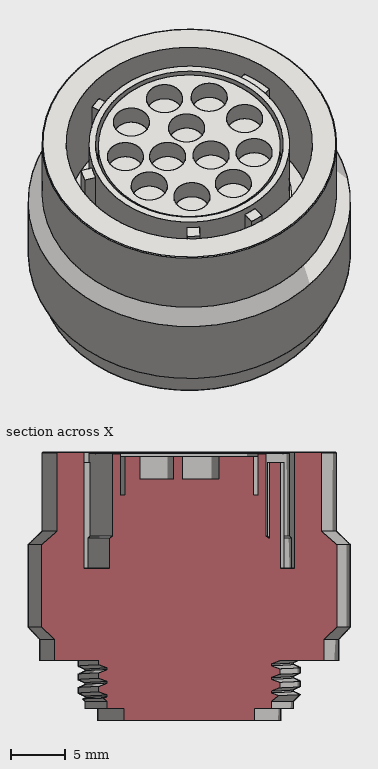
import cadquery as cq
import math

total_height = 24.4
tail_radius = 8.32
tail_top = 1.08
collar_radius = 9.5
collar_top = 1.75
flange_radius = 13.6
flange_bottom = 5.45
flange_top = 7.38
body_radius = 14.65
body_bottom = 8.5
body_top = 16.0
barrel_radius = 13.4
barrel_bottom = 17.23
rim_chamfer = 0.1

thread_radius = 10.1
thread_depth = thread_radius - collar_radius
thread_pitch = 1.23
groove_start = 1.82
groove_opening = 0.73
groove_root_width = 0.15
groove_overcut = 0.3

bore_radius = 11.2
bore_depth = 10.55
plug_radius = 9.1
plug_base_radius = 9.32
plug_base_height = 2.93
plug_top_recess = 0.15
plug_top = total_height - plug_top_recess
bore_floor = total_height - bore_depth
plug_base_top = bore_floor + plug_base_height
plug_base_chamfer = plug_base_radius - plug_radius

sleeve_inner_radius = 8.53
insert_radius = 8.25
insert_recess = 0.23
insert_top = plug_top - insert_recess
insert_gap_depth = 3.52

contact_radius = 1.65
contact_depth = 2.05
outer_contact_count = 9
outer_contact_circle = 5.95
inner_contacts = [(-1.46, 1.5), (2.23, 0.35), (-0.8, -2.2)]

key_outer_radius = 10.15
key_recess = 0.95
key_top = total_height - key_recess
key_trim = 0.3
main_key_width = 2.87
minor_key_width = 1.17
minor_key_angles = (105, 140, 215, 265)


def disc(radius, bottom, top):
    return cq.Workplane("XY").workplane(offset=bottom).circle(radius).extrude(top - bottom)


def make_shell():
    profile = [
        (0, flange_bottom),
        (flange_radius, flange_bottom),
        (flange_radius, flange_top),
        (body_radius, body_bottom),
        (body_radius, body_top),
        (barrel_radius, barrel_bottom),
        (barrel_radius, total_height - rim_chamfer),
        (barrel_radius - rim_chamfer, total_height),
        (0, total_height),
    ]
    return cq.Workplane("XZ").polyline(profile).close().revolve(360, (0, 0), (0, 1))


def make_groove_cutter():
    flank_slope = (groove_opening - groove_root_width) / 2 / thread_depth
    cutter_radius = thread_radius + groove_overcut
    half_root = groove_root_width / 2
    half_mouth = groove_opening / 2 + groove_overcut * flank_slope
    helix_height = flange_bottom + thread_pitch / 2 - groove_start
    helix = cq.Wire.makeHelix(thread_pitch, helix_height, collar_radius, cq.Vector(0, 0, groove_start))
    profile = [
        (collar_radius, groove_start - half_root),
        (cutter_radius, groove_start - half_mouth),
        (cutter_radius, groove_start + half_mouth),
        (collar_radius, groove_start + half_root),
    ]
    return cq.Workplane("XZ").polyline(profile).close().sweep(cq.Workplane(helix), isFrenet=True)


def make_threaded_end():
    blank_top = flange_bottom + thread_pitch
    blank = disc(thread_radius, collar_top, blank_top).faces("<Z").chamfer(thread_depth)
    threaded = blank.cut(make_groove_cutter())
    collar = disc(collar_radius, tail_top, collar_top)
    tail = disc(tail_radius, 0, tail_top)
    return threaded.union(collar).union(tail)


def make_plug():
    profile = [
        (0, bore_floor),
        (plug_base_radius, bore_floor),
        (plug_base_radius, plug_base_top - plug_base_chamfer),
        (plug_radius, plug_base_top),
        (plug_radius, plug_top),
        (sleeve_inner_radius, plug_top),
        (sleeve_inner_radius, insert_top - insert_gap_depth),
        (insert_radius, insert_top - insert_gap_depth),
        (insert_radius, insert_top),
        (0, insert_top),
    ]
    return cq.Workplane("XZ").polyline(profile).close().revolve(360, (0, 0), (0, 1))


def make_key(width, clockwise_angle):
    inner = (plug_radius + sleeve_inner_radius) / 2
    bar = (
        cq.Workplane("XY", origin=(0, inner, bore_floor))
        .rect(width, key_outer_radius - inner + key_trim, centered=(True, False))
        .extrude(key_top - bore_floor)
    )
    trimmed = bar.intersect(disc(key_outer_radius, bore_floor, key_top))
    return trimmed.rotate((0, 0, 0), (0, 0, 1), -clockwise_angle)


def make_contact_holes():
    step = 2 * math.pi / outer_contact_count
    angles = [-math.pi / 2 + i * step for i in range(outer_contact_count)]
    ring = [(outer_contact_circle * math.cos(a), outer_contact_circle * math.sin(a)) for a in angles]
    return (
        cq.Workplane("XY", origin=(0, 0, insert_top))
        .pushPoints(ring + inner_contacts)
        .circle(contact_radius)
        .extrude(-contact_depth)
    )


shell = make_shell().cut(disc(bore_radius, bore_floor, total_height))
plug = make_plug().union(make_key(main_key_width, 0))
for angle in minor_key_angles:
    plug = plug.union(make_key(minor_key_width, angle))
plug = plug.cut(make_contact_holes())

result = shell.union(plug).union(make_threaded_end())